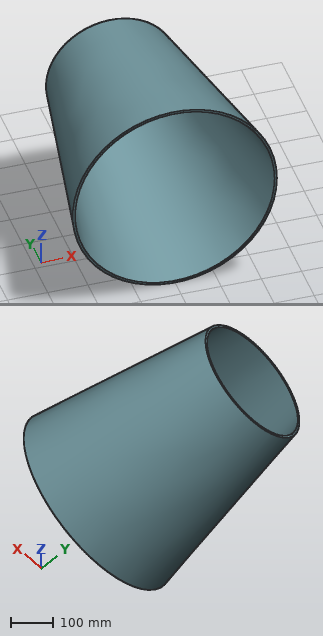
import cadquery as cq

length = 508.0
large_radius = 254.0
small_radius = 162.0
wall = 6.0

large_end = -length / 2
small_end = length / 2

wall_section = [
    (large_radius - wall, large_end),
    (large_radius, large_end),
    (small_radius, small_end),
    (small_radius - wall, small_end),
]

result = cq.Workplane("XY").polyline(wall_section).close().revolve(360, (0, 0), (0, 1))